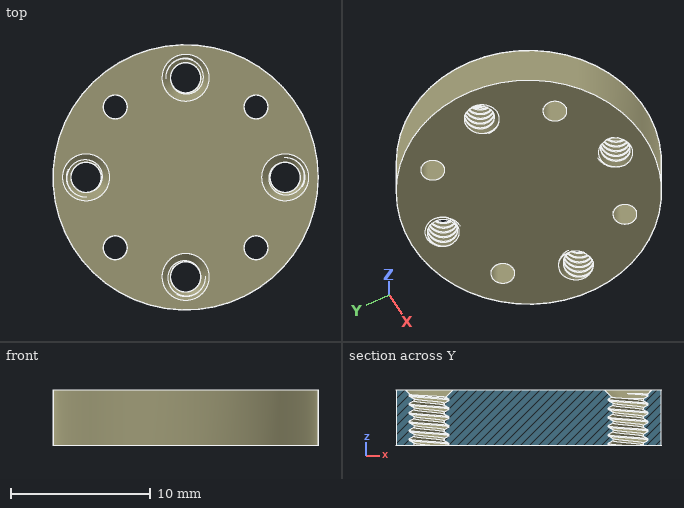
import cadquery as cq
import math

plate_diameter = 19.05
plate_height = 4.0

bolt_circle_radius = 7.15
holes_per_kind = 4
hole_spacing = 360 / holes_per_kind
plain_hole_diameter = 1.7

pitches_per_plate_diameter = 30
pitch = plate_diameter / pitches_per_plate_diameter
minor_diameter = 2.15
minor_radius = minor_diameter / 2
crest_flat = pitch / 4
root_flat = pitch / 8
thread_angle = 60.0
flank_slope = math.tan(math.radians(thread_angle / 2))
groove_depth = (pitch - crest_flat - root_flat) / 2 / flank_slope
mouth_diameter = 3.37
mouth_radius = mouth_diameter / 2

first_groove_depth = 0.23
thread_start_angle = 90.0

core_overlap = 0.04
groove_overrun_turns = 2
core_overrun = 3.81


def make_thread_groove():
    """Helical groove around the Z axis, reaching past both faces of the plate."""
    turns = math.ceil(plate_height / pitch) + 2 * groove_overrun_turns
    length = turns * pitch
    base_level = plate_height - first_groove_depth + groove_overrun_turns * pitch - length
    inner_radius = minor_radius - core_overlap
    major_radius = minor_radius + groove_depth
    opening_half_width = (pitch - crest_flat) / 2 + core_overlap * flank_slope
    profile = [
        (inner_radius, -opening_half_width),
        (major_radius, -root_flat / 2),
        (major_radius, root_flat / 2),
        (inner_radius, opening_half_width),
    ]

    helices = [
        cq.Wire.makeHelix(pitch, length, radius).translate(cq.Vector(0, 0, level))
        for radius, level in profile
    ]
    faces = [
        cq.Face.makeRuledSurface(helices[i], helices[(i + 1) % len(helices)])
        for i in range(len(helices))
    ]
    for end_level in (0, length):
        corners = [cq.Vector(radius, 0, end_level + level) for radius, level in profile]
        faces.append(cq.Face.makeFromWires(cq.Wire.makePolygon(corners, close=True)))

    groove = cq.Solid.makeSolid(cq.Shell.makeShell(faces))
    turned = groove.rotate(cq.Vector(0, 0, 0), cq.Vector(0, 0, 1), thread_start_angle)
    return cq.Workplane(turned.translate(cq.Vector(0, 0, base_level)))


def make_tapped_hole():
    """Material removed by one tapped hole on the Z axis, trimmed to the plate's height."""
    core_bottom = cq.Workplane("XY").workplane(offset=-core_overrun)
    core = core_bottom.circle(minor_radius).extrude(plate_height + 2 * core_overrun)
    slab = cq.Workplane("XY").circle(2 * mouth_radius).extrude(plate_height)
    threaded = core.union(make_thread_groove()).intersect(slab)

    top_center = cq.Vector(0, 0, plate_height)
    mouth = cq.Solid.makeCone(mouth_radius, 0, mouth_radius, pnt=top_center, dir=cq.Vector(0, 0, -1))
    return threaded.union(cq.Workplane(mouth))


plate = cq.Workplane("XY").circle(plate_diameter / 2).extrude(plate_height)
plate = (
    plate.faces(">Z")
    .workplane()
    .polarArray(bolt_circle_radius, hole_spacing / 2, 360, holes_per_kind)
    .hole(plain_hole_diameter)
)

tapped_hole = make_tapped_hole().translate((bolt_circle_radius, 0, 0))
for index in range(holes_per_kind):
    plate = plate.cut(tapped_hole.rotate((0, 0, 0), (0, 0, 1), index * hole_spacing))

result = plate